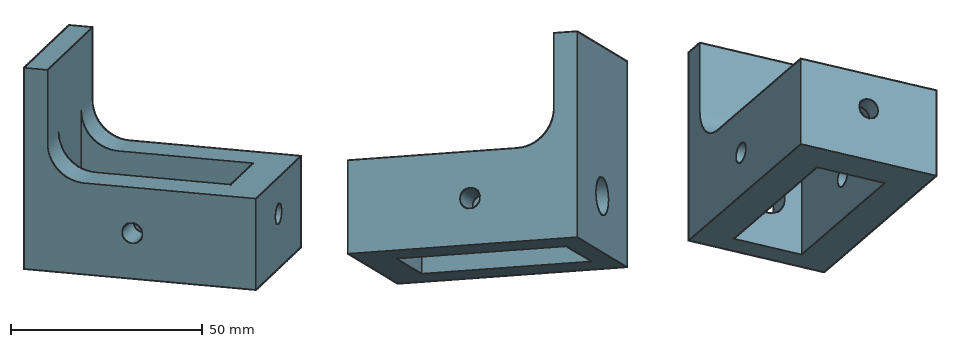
import cadquery as cq

length = 63.45
width = 40.0
height = 55.0

plate_thickness = 6.5
base_height = 25.0
corner_radius = 10.0

wall_thickness = 10.0
window_length = length - plate_thickness - wall_thickness
window_width = width - 2 * wall_thickness

hole_diameter = 5.5
cross_hole_x = 29.6
cross_hole_z = base_height / 2

wide_diameter = 10.0
long_hole_z = 15.0
end_recess_depth = 5.0


def x_cylinder(diameter, start_x, end_x):
    """Cylinder along X on the lengthwise hole axis."""
    return (
        cq.Workplane("YZ", origin=(start_x, width / 2, long_hole_z))
        .circle(diameter / 2)
        .extrude(end_x - start_x)
    )


body = (
    cq.Workplane("XZ", origin=(0, width, 0))
    .lineTo(length, 0)
    .lineTo(length, base_height)
    .lineTo(plate_thickness + corner_radius, base_height)
    .radiusArc((plate_thickness, base_height + corner_radius), corner_radius)
    .lineTo(plate_thickness, height)
    .lineTo(0, height)
    .close()
    .extrude(width)
)

window = cq.Workplane("XY").box(
    window_length, window_width, height, centered=False
).translate((plate_thickness, wall_thickness, 0))

cross_hole = (
    cq.Workplane("XZ", origin=(cross_hole_x, width, cross_hole_z))
    .circle(hole_diameter / 2)
    .extrude(width)
)

end_recess_floor = length - wall_thickness + end_recess_depth
wide_bore = x_cylinder(wide_diameter, 0, end_recess_floor)
end_hole = x_cylinder(hole_diameter, end_recess_floor, length)

result = body.cut(window).cut(cross_hole).cut(wide_bore).cut(end_hole)